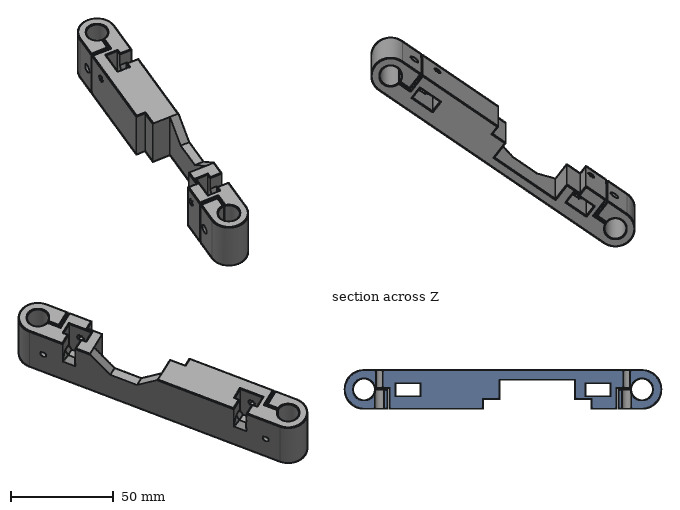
import cadquery as cq
import math

length = 154.0
thickness = 19.0
height = 28.0
edge_chamfer = 0.38

back_y = thickness / 2
front_y = -thickness / 2
top_z = height / 2
end_radius = thickness / 2

rod_x = length / 2 - end_radius
rod_diameter = 10.5
slit_width = 1.0
slit_height = 0.6
slit_outer_x = 56.0
clamp_screw_x = 60.0
clamp_screw_diameter = 3.2
clamp_clearance_diameter = 4.5

pocket_x = 46.2
pocket_width = 12.0
pocket_back_y = 3.0
pocket_front_y = -3.2
pocket_screw_corners = 3.7
pocket_screw_z = 6.0
neck_width = 6.8
neck_flare = 2.8

web_left_x = -1.7
web_right_x = 35.0
web_thickness = 4.8
step_length = 8.0
step_depth = 4.8
notch_depth = 10.0
notch_slope_run = 11.1

web_front_y = back_y - web_thickness
step_y = front_y + step_depth


def make_bar():
    """Round-ended bar, thinned to the web, with square top and bottom rims."""
    outline = (
        cq.Workplane("XY", origin=(0, 0, -top_z))
        .moveTo(-rod_x, front_y)
        .lineTo(web_left_x - step_length, front_y)
        .lineTo(web_left_x - step_length, step_y)
        .lineTo(web_left_x, step_y)
        .lineTo(web_left_x, web_front_y)
        .lineTo(web_right_x, web_front_y)
        .lineTo(web_right_x, step_y)
        .lineTo(web_right_x + step_length, step_y)
        .lineTo(web_right_x + step_length, front_y)
        .lineTo(rod_x, front_y)
        .threePointArc((length / 2, 0), (rod_x, back_y))
        .lineTo(-rod_x, back_y)
        .threePointArc((-length / 2, 0), (-rod_x, front_y))
        .close()
    )
    return outline.extrude(height)


def box_between(x_range, y_range, z_range):
    """Axis-aligned box spanning the given (low, high) ranges."""
    return cq.Workplane("XY").box(
        x_range[1] - x_range[0],
        y_range[1] - y_range[0],
        z_range[1] - z_range[0],
        centered=False,
    ).translate((x_range[0], y_range[0], z_range[0]))


def y_cylinder(x, z, diameter, y_range):
    """Cylinder along Y."""
    return (
        cq.Workplane("XZ", origin=(x, y_range[0], z))
        .circle(diameter / 2)
        .extrude(y_range[0] - y_range[1])
    )


def y_hexagon(x, z, corner_diameter, y_range):
    """Hexagonal prism along Y, with two corners at the height of its axis."""
    return (
        cq.Workplane("XZ", origin=(x, y_range[0], z))
        .polygon(6, corner_diameter)
        .extrude(y_range[0] - y_range[1])
    )


def make_vertical_openings():
    """Rod bore, L-shaped clamping slit and pocket of the left end, through the height."""
    z_range = (-top_z, top_z)
    slit_inner_x = -slit_outer_x + slit_width
    bore = cq.Workplane("XY", origin=(-rod_x, 0, -top_z)).circle(rod_diameter / 2).extrude(height)
    slit_along = box_between((-rod_x, slit_inner_x), (0, slit_height), z_range)
    slit_out = box_between((-slit_outer_x, slit_inner_x), (front_y, slit_height), z_range)
    pocket = box_between(
        (-pocket_x - pocket_width / 2, -pocket_x + pocket_width / 2),
        (pocket_front_y, pocket_back_y),
        z_range,
    )
    return bore.union(slit_along).union(slit_out).union(pocket)


def make_neck(bottom_z):
    """Slot from the left pocket to the back face, from the given height to the top."""
    return box_between(
        (-pocket_x - neck_width / 2, -pocket_x + neck_width / 2),
        (0, back_y),
        (bottom_z, top_z),
    )


def make_neck_floor():
    """Hexagonal seat that ends the neck below, flared at 45 degrees towards the back within its width."""
    flare_start_y = back_y - neck_flare
    flared_width = neck_width + 2 * neck_flare / math.cos(math.radians(30))
    seat = y_hexagon(-pocket_x, pocket_screw_z, neck_width, (0, back_y))
    flare = (
        cq.Workplane("XZ", origin=(-pocket_x, flare_start_y, pocket_screw_z))
        .polygon(6, neck_width)
        .workplane(offset=-neck_flare)
        .polygon(6, flared_width)
        .loft(ruled=True)
    )
    return seat.union(flare).intersect(make_neck(-top_z))


def make_screw_holes():
    """Clamp screw hole, wider in the front jaw, and the hexagonal hole into the pocket."""
    clamp = y_cylinder(-clamp_screw_x, 0, clamp_screw_diameter, (front_y, back_y))
    jaw = y_cylinder(-clamp_screw_x, 0, clamp_clearance_diameter, (front_y, 0))
    pocket = y_hexagon(-pocket_x, pocket_screw_z, pocket_screw_corners, (front_y, 0))
    return clamp.union(jaw).union(pocket)


def make_notch():
    """Trapezoidal cut that lowers the top of the web."""
    return (
        cq.Workplane("XZ", origin=(0, back_y, 0))
        .moveTo(web_left_x, top_z)
        .lineTo(web_left_x + notch_slope_run, top_z - notch_depth)
        .lineTo(web_right_x - notch_slope_run, top_z - notch_depth)
        .lineTo(web_right_x, top_z)
        .close()
        .extrude(thickness)
    )


def both_ends(body, left_tool):
    """Cut a tool at the left end and its mirror image at the right end."""
    return body.cut(left_tool).cut(left_tool.mirror("YZ"))


bar = both_ends(make_bar(), make_vertical_openings())
bar = both_ends(bar, make_neck(pocket_screw_z))
bar = bar.cut(make_notch())

web_region = cq.selectors.BoxSelector(
    (web_left_x - edge_chamfer, -thickness, -height),
    (web_right_x + edge_chamfer, thickness, height),
)
bar = bar.faces("<Z").edges().chamfer(edge_chamfer)
bar = bar.faces(">Z").edges(cq.selectors.InverseSelector(web_region)).chamfer(edge_chamfer)

bar = both_ends(bar, make_neck_floor())
result = both_ends(bar, make_screw_holes())